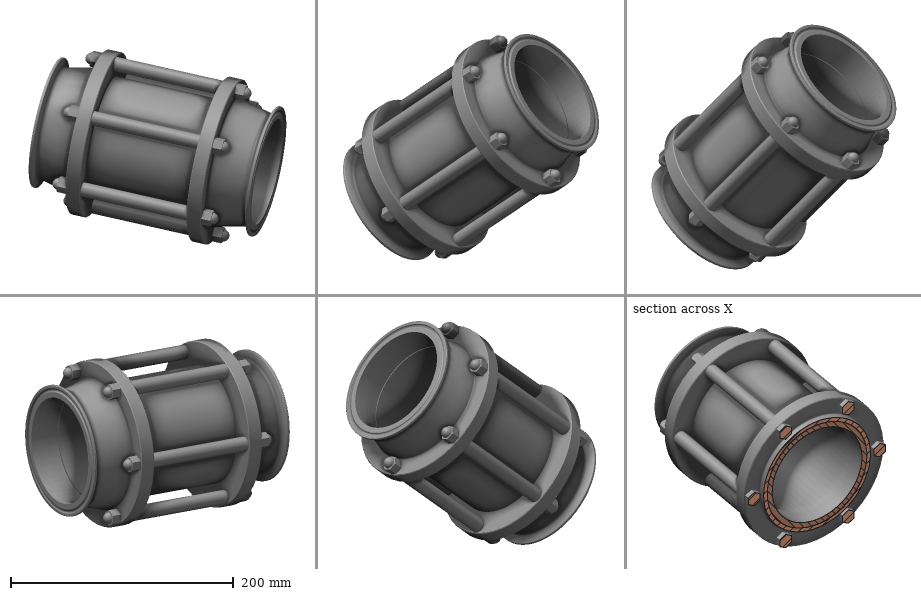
import cadquery as cq
import math


length = 206.0
bore_radius = 48.6

glass_radius = 54.0
seat_depth = 27.8
end_gap = 0.8

ferrule_radius = 60.0
ferrule_rim = 2.5
neck_depth = 5.5
neck_radius = 51.5
ferrule_edge_chamfer = 0.5
rim_fillet = 0.8
neck_fillet = 2.0
groove_centre_radius = 55.5
groove_width = 2.9
groove_depth = 1.2
groove_edge_width = 0.6
groove_edge_depth = 0.2

flange_radius = 76.0
flange_depth = 39.3
flange_thickness = 13.5
flange_chamfer = 0.72
cone_end_radius = 59.5
cone_fillet = 1.5

rod_count = 6
rod_radius = 6.5
rod_circle_radius = 68.4
nut_flats = 13.0
nut_height = 8.7
nut_corner_chamfer = 0.6
dome_radius = 5.4

tolerance = 0.02

half_length = length / 2
flange_outer_x = half_length - flange_depth
flange_inner_x = flange_outer_x - flange_thickness
seat_x = half_length - seat_depth
glass_end_x = seat_x - end_gap
rim_back_x = half_length - ferrule_rim
neck_x = half_length - neck_depth
nut_end_x = flange_outer_x + nut_height
nut_corners = nut_flats / math.cos(math.pi / 6)


def revolve_about_x(profile):
    """Revolve a closed (X, radius) profile one full turn about the X axis."""
    return profile.revolve(360, (0, 0, 0), (1, 0, 0))


def fillet_circle(body, x, radius, fillet_radius):
    """Round the circular edge of the given radius, centred on the X axis at x."""
    def is_wanted(edge):
        box = edge.BoundingBox()
        return math.dist((box.xmin, box.xmax, edge.radius()), (x, x, radius)) < tolerance

    circles = body.edges("%CIRCLE").filter(is_wanted)
    return body.newObject(circles.vals()).fillet(fillet_radius)


def make_end_fitting():
    """Ferrule, cone and flange at the +X end, with bore and glass seat."""
    fitting = revolve_about_x(
        cq.Workplane("XY")
        .moveTo(flange_inner_x, glass_radius)
        .lineTo(flange_inner_x, flange_radius - flange_chamfer)
        .lineTo(flange_inner_x + flange_chamfer, flange_radius)
        .lineTo(flange_outer_x - flange_chamfer, flange_radius)
        .lineTo(flange_outer_x, flange_radius - flange_chamfer)
        .lineTo(flange_outer_x, cone_end_radius)
        .lineTo(neck_x, neck_radius)
        .lineTo(rim_back_x, ferrule_radius)
        .lineTo(half_length - ferrule_edge_chamfer, ferrule_radius)
        .lineTo(half_length, ferrule_radius - ferrule_edge_chamfer)
        .lineTo(half_length, bore_radius)
        .lineTo(seat_x, bore_radius)
        .lineTo(seat_x, glass_radius)
        .close()
    )
    fitting = fillet_circle(fitting, flange_outer_x, cone_end_radius, cone_fillet)
    fitting = fillet_circle(fitting, neck_x, neck_radius, neck_fillet)
    fitting = fillet_circle(fitting, rim_back_x, ferrule_radius, rim_fillet)
    return fitting.cut(make_gasket_groove())


def make_gasket_groove():
    """Ring with an arc-shaped section, cut into the ferrule face."""
    inner_radius = groove_centre_radius - groove_width / 2
    outer_radius = groove_centre_radius + groove_width / 2
    bevel_x = half_length - groove_edge_depth
    return revolve_about_x(
        cq.Workplane("XY")
        .moveTo(half_length, inner_radius - groove_edge_width)
        .lineTo(bevel_x, inner_radius)
        .threePointArc((half_length - groove_depth, groove_centre_radius), (bevel_x, outer_radius))
        .lineTo(half_length, outer_radius + groove_edge_width)
        .close()
    )


def make_cap_nut():
    """Domed hex nut on the X axis, seated on the +X flange, corners along Z."""
    hexagon = (
        cq.Workplane("YZ", origin=(flange_outer_x, 0, 0))
        .transformed(rotate=(0, 0, 90))
        .polygon(6, nut_corners)
        .extrude(nut_height)
    )
    corner_radius = nut_corners / 2
    corner_trim = (
        cq.Workplane("YZ", origin=(flange_outer_x, 0, 0))
        .circle(corner_radius)
        .extrude(nut_height)
        .faces(">X")
        .chamfer(nut_corner_chamfer)
    )
    dome = revolve_about_x(
        cq.Workplane("XY")
        .moveTo(nut_end_x, 0)
        .lineTo(nut_end_x + dome_radius, 0)
        .radiusArc((nut_end_x, dome_radius), -dome_radius)
        .close()
    )
    return hexagon.intersect(corner_trim).union(dome)


def make_tie_rod():
    """Rod through both flanges with a cap nut at each end, on the X axis."""
    rod = cq.Workplane("YZ", origin=(-flange_outer_x, 0, 0)).circle(rod_radius).extrude(2 * flange_outer_x)
    nut = make_cap_nut()
    return rod.union(nut).union(nut.mirror("YZ"))


def make_frame():
    """Both end fittings joined by the ring of tie rods."""
    fitting = make_end_fitting()
    frame = fitting.union(fitting.mirror("YZ"))
    rod = make_tie_rod().translate((0, rod_circle_radius, 0))
    for index in range(rod_count):
        frame = frame.union(rod.rotate((0, 0, 0), (1, 0, 0), index * 360 / rod_count))
    return frame


def make_glass():
    """Plain tube seated in both end fittings."""
    return (
        cq.Workplane("YZ", origin=(-glass_end_x, 0, 0))
        .circle(glass_radius)
        .circle(bore_radius)
        .extrude(2 * glass_end_x)
    )


frame = make_frame()
glass = make_glass()

result = cq.Compound.makeCompound([frame.solids().val(), glass.val()])